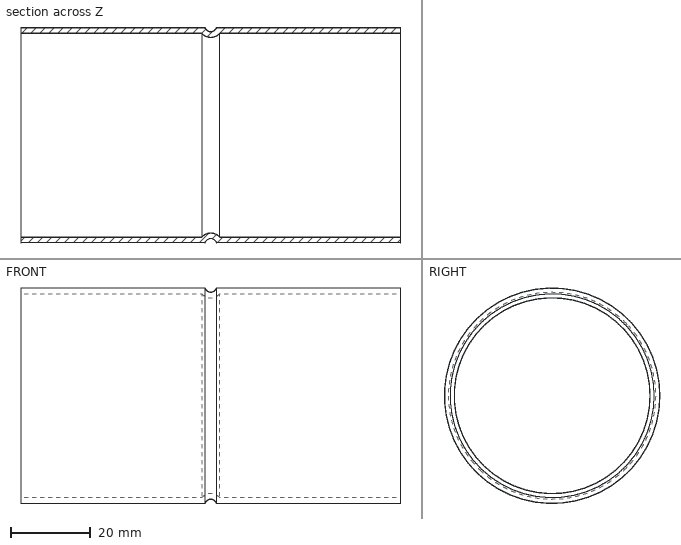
import cadquery as cq
import math

length = 95.0
outer_diameter = 54.0
bore_diameter = 51.0

groove_width = 2.8
groove_depth = 1.0

outer_radius = outer_diameter / 2
bore_radius = bore_diameter / 2
wall = outer_radius - bore_radius

groove_half_width = groove_width / 2
groove_arc_radius = (groove_half_width**2 + groove_depth**2) / (2 * groove_depth)
ridge_arc_radius = groove_arc_radius + wall
arc_centre_radius = outer_radius - groove_depth + groove_arc_radius
ridge_half_width = math.sqrt(ridge_arc_radius**2 - (arc_centre_radius - bore_radius) ** 2)
ridge_crest_radius = bore_radius - groove_depth
groove_floor_radius = outer_radius - groove_depth

wall_section = (
    cq.Workplane("XY")
    .moveTo(-length / 2, bore_radius)
    .lineTo(-ridge_half_width, bore_radius)
    .threePointArc((0, ridge_crest_radius), (ridge_half_width, bore_radius))
    .lineTo(length / 2, bore_radius)
    .lineTo(length / 2, outer_radius)
    .lineTo(groove_half_width, outer_radius)
    .threePointArc((0, groove_floor_radius), (-groove_half_width, outer_radius))
    .lineTo(-length / 2, outer_radius)
    .close()
)

result = wall_section.revolve(360, (0, 0, 0), (1, 0, 0))